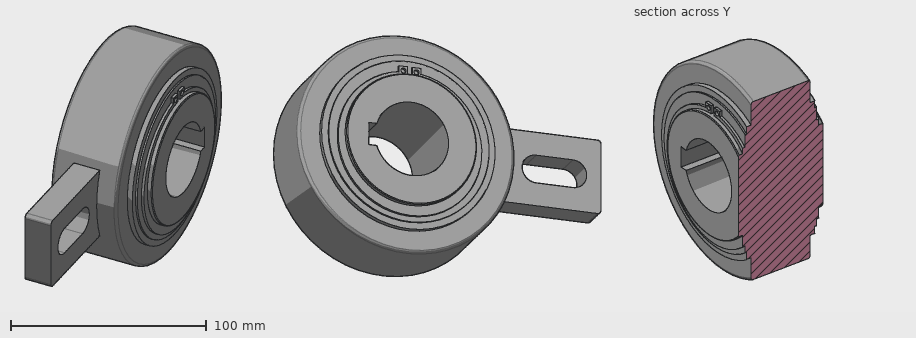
import cadquery as cq

body_radius = 59.0
body_width = 37.9
body_edge_radius = 1.5

cover_radius = 47.2
cover_width = 43.6
bearing_radius = 43.6
bearing_width = 45.6
hub_radius = 35.3
hub_width = 54.0
hub_edge_chamfer = 0.5

bore_radius = 20.0
keyway_width = 12.0
keyway_reach = 23.3

clip_radius = 39.0
clip_drop = 1.7
clip_thickness = 1.5
clip_gap = 2.5
lug_outer_width = 11.8
lug_top = 40.0
lug_hole_radius = 1.4
lug_hole_spacing = 7.1
lug_hole_height = 37.7

total_length = 169.0
arm_reach = total_length - body_radius
arm_thickness = 14.9
arm_height = 40.0
arm_edge_radius = 2.0
slot_length = 35.0
slot_width = 15.0
slot_center = 84.7


def disc(radius, width):
    """Cylinder along X, centred on the origin."""
    return cq.Workplane("YZ").workplane(offset=-width / 2).circle(radius).extrude(width)


def make_clip():
    """Clip on the +X bearing face, with two drilled lugs beside an open gap."""
    face = cq.Workplane("YZ").workplane(offset=bearing_width / 2)
    ring = face.center(0, -clip_drop).circle(clip_radius).extrude(clip_thickness)
    lugs = face.center(0, lug_top / 2).rect(lug_outer_width, lug_top).extrude(clip_thickness)
    gap = face.center(0, lug_top / 2).rect(clip_gap, lug_top).extrude(clip_thickness)
    hole_spots = [(side * lug_hole_spacing / 2, lug_hole_height) for side in (-1, 1)]
    holes = face.pushPoints(hole_spots).circle(lug_hole_radius).extrude(clip_thickness)
    return ring.union(lugs).cut(gap).cut(holes)


def make_arm():
    """Slotted flat bar from the disc axis out to -Y."""
    bar = cq.Workplane("XY").box(arm_thickness, arm_reach, arm_height)
    bar = bar.translate((0, -arm_reach / 2, 0))
    bar = bar.faces("<Y").edges("|X").fillet(arm_edge_radius)
    slot = (
        cq.Workplane("YZ")
        .center(-slot_center, 0)
        .slot2D(slot_length, slot_width)
        .extrude(arm_thickness, both=True)
    )
    return bar.cut(slot)


def make_bore():
    """Through bore with a keyway on the +Y side."""
    keyway = (
        cq.Workplane("YZ")
        .center(keyway_reach / 2, 0)
        .rect(keyway_reach, keyway_width)
        .extrude(hub_width / 2, both=True)
    )
    return disc(bore_radius, hub_width).union(keyway)


body = disc(body_radius, body_width).edges("%CIRCLE").fillet(body_edge_radius)
hub = disc(hub_radius, hub_width).edges("%CIRCLE").chamfer(hub_edge_chamfer)
clip = make_clip()

result = (
    body.union(make_arm())
    .union(disc(cover_radius, cover_width))
    .union(disc(bearing_radius, bearing_width))
    .union(clip)
    .union(clip.mirror("YZ"))
    .union(hub)
    .cut(make_bore())
)